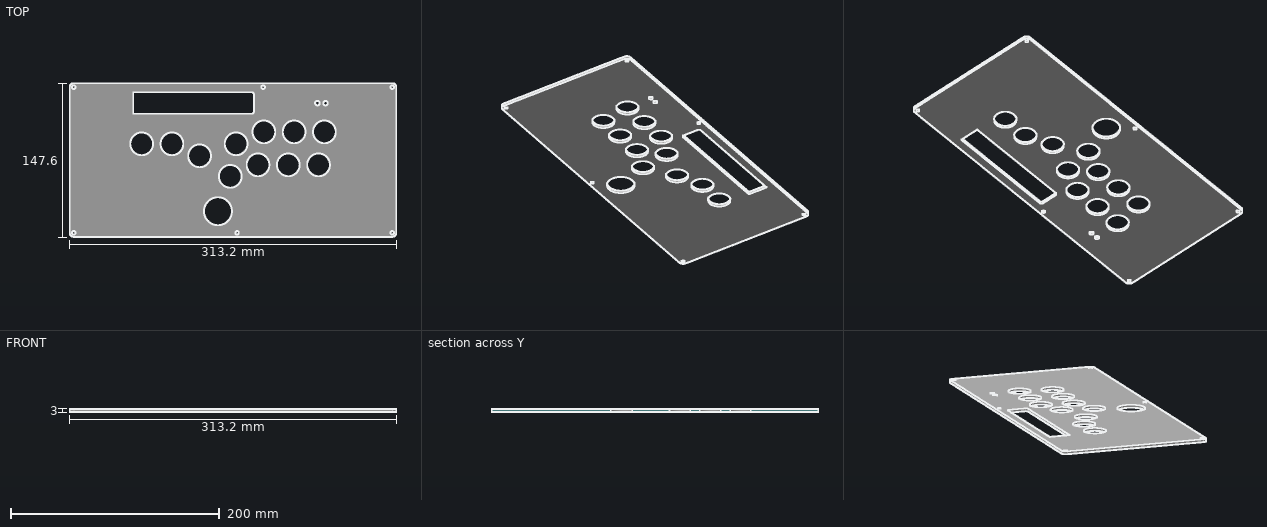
import cadquery as cq

LENGTH = 313.18
WIDTH = 147.6
THICKNESS = 3.0
CORNER_RADIUS = 4.0

SCREW_DIAMETER = 3.2
SCREW_INSET = 4.0
TOP_MIDDLE_SCREW_X = 28.9
BOTTOM_MIDDLE_SCREW_X = 3.9

WINDOW_LEFT = -95.5
WINDOW_LENGTH = 115.5
WINDOW_WIDTH = 20.4
WINDOW_CENTER_Y = 54.6
WINDOW_CORNER_RADIUS = 2.0

INDICATOR_DIAMETER = 4.2
INDICATOR_PITCH = 7.8
INDICATOR_CENTER = (84.8, 54.5)

BUTTON_DIAMETER = 21.6
BUTTON_PITCH = 29.0
THUMB_BUTTON_DIAMETER = 26.6
THUMB_BUTTON_CENTER = (-14.4, -49.1)

ROW_LENGTH = 3
UPPER_ROW_START = (29.6, 26.95)
LOWER_ROW_SHIFT = (-5.6, -31.6)
UPPER_INDEX_SHIFT = (-26.6, -11.45)
LOWER_INDEX_SHIFT = (-26.6, -11.0)

LEFT_PAIR_COUNT = 2
LEFT_PAIR_START = (-87.5, 15.5)
LEFT_LOW_BUTTON = (-32.0, 4.0)


def shifted(point, shift):
    return (point[0] + shift[0], point[1] + shift[1])


def row(start, count):
    """Centres of level buttons, one pitch apart, running toward +X."""
    return [shifted(start, (i * BUTTON_PITCH, 0)) for i in range(count)]


def drill(plate, centers, diameter):
    """Cut round through holes at the given centres."""
    cutters = cq.Workplane("XY").pushPoints(centers).circle(diameter / 2).extrude(THICKNESS)
    return plate.cut(cutters)


def make_plate():
    blank = cq.Workplane("XY").rect(LENGTH, WIDTH).extrude(THICKNESS)
    return blank.edges("|Z").fillet(CORNER_RADIUS)


def screw_centers():
    edge_x = LENGTH / 2 - SCREW_INSET
    edge_y = WIDTH / 2 - SCREW_INSET
    top = [(x, edge_y) for x in (-edge_x, TOP_MIDDLE_SCREW_X, edge_x)]
    bottom = [(x, -edge_y) for x in (-edge_x, BOTTOM_MIDDLE_SCREW_X, edge_x)]
    return top + bottom


def indicator_centers():
    half_pitch = INDICATOR_PITCH / 2
    return [shifted(INDICATOR_CENTER, (dx, 0)) for dx in (-half_pitch, half_pitch)]


def button_centers():
    centers = row(LEFT_PAIR_START, LEFT_PAIR_COUNT) + [LEFT_LOW_BUTTON]
    lower_row_start = shifted(UPPER_ROW_START, LOWER_ROW_SHIFT)
    for start, index_shift in (
        (UPPER_ROW_START, UPPER_INDEX_SHIFT),
        (lower_row_start, LOWER_INDEX_SHIFT),
    ):
        centers.append(shifted(start, index_shift))
        centers += row(start, ROW_LENGTH)
    return centers


def make_window():
    window = (
        cq.Workplane("XY")
        .center(WINDOW_LEFT + WINDOW_LENGTH / 2, WINDOW_CENTER_Y)
        .rect(WINDOW_LENGTH, WINDOW_WIDTH)
        .extrude(THICKNESS)
    )
    return window.edges("|Z and >X").fillet(WINDOW_CORNER_RADIUS)


plate = make_plate().cut(make_window())
plate = drill(plate, screw_centers(), SCREW_DIAMETER)
plate = drill(plate, indicator_centers(), INDICATOR_DIAMETER)
plate = drill(plate, button_centers(), BUTTON_DIAMETER)
result = drill(plate, [THUMB_BUTTON_CENTER], THUMB_BUTTON_DIAMETER)